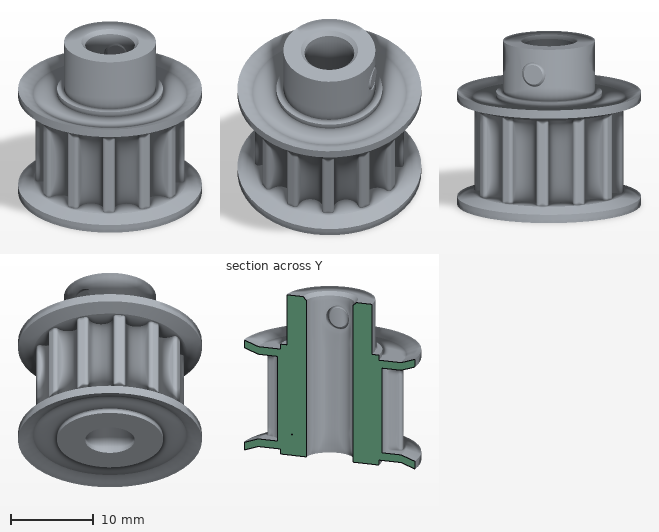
import cadquery as cq
import math

total_height = 20.2
pulley_height = 13.9
hub_radius = 5.55

flange_radius = 11.1
flange_flat_radius = 9.27
flange_thickness = 1.02
flange_dish = 0.63
collar_radius = 6.4

tooth_count = 12
tip_radius = 8.98
groove_radius = 1.51
groove_depth = 2.16
tip_fillet = 0.4

bore_radius = 3.0
bore_chamfer = 0.45

screw_radius = 1.5
screw_tip_position = 3.03
screw_chamfer = 0.3

core_bottom = flange_thickness
core_top = pulley_height - flange_thickness
screw_height = (pulley_height + total_height) / 2


def make_toothed_core():
    """Cylinder with round-bottomed grooves, spanning between the two flanges."""
    core_height = core_top - core_bottom
    groove_centre = tip_radius - groove_depth + groove_radius
    groove_reach = tip_radius + groove_radius

    core = cq.Workplane("XY").workplane(offset=core_bottom).circle(tip_radius).extrude(core_height)
    groove = (
        cq.Workplane("XY")
        .workplane(offset=core_bottom)
        .moveTo(groove_reach, -groove_radius)
        .lineTo(groove_centre, -groove_radius)
        .threePointArc((groove_centre - groove_radius, 0), (groove_centre, groove_radius))
        .lineTo(groove_reach, groove_radius)
        .close()
        .extrude(core_height)
    )
    pitch_angle = 360 / tooth_count
    for index in range(tooth_count):
        angle = index * pitch_angle
        core = core.cut(groove.rotate((0, 0, 0), (0, 0, 1), angle))

    tip_edge_radius = math.hypot(groove_centre, groove_radius) + tip_fillet / 4
    inner_zone = cq.Workplane("XY").circle(tip_edge_radius).extrude(pulley_height).val()
    tip_edges = [edge for edge in core.edges("|Z").vals() if not inner_zone.isInside(edge.Center())]
    return core.newObject(tip_edges).fillet(tip_fillet)


def make_bottom_flange():
    """Dished flange, rim at Z = 0, with the collar flush with the rim."""
    profile = [
        (0, 0),
        (collar_radius, 0),
        (collar_radius, flange_dish),
        (flange_flat_radius, flange_dish),
        (flange_radius, 0),
        (flange_radius, flange_thickness),
        (flange_flat_radius, flange_thickness + flange_dish),
        (0, flange_thickness + flange_dish),
    ]
    return cq.Workplane("XZ").polyline(profile).close().revolve(360, (0, 0), (0, 1))


def make_hub():
    """Plain cylinder rising above the top flange."""
    hub_height = total_height - pulley_height
    return cq.Workplane("XY").workplane(offset=pulley_height).circle(hub_radius).extrude(hub_height)


def make_bore():
    """Through bore with a chamfered mouth at the hub end."""
    mouth_radius = bore_radius + bore_chamfer
    profile = [
        (0, 0),
        (bore_radius, 0),
        (bore_radius, total_height - bore_chamfer),
        (mouth_radius, total_height),
        (0, total_height),
    ]
    return cq.Workplane("XZ").polyline(profile).close().revolve(360, (0, 0), (0, 1))


def screw_axis_cylinder(start, end):
    """Cylinder of the screw diameter along +Y between two Y positions."""
    plane = cq.Plane(origin=(0, start, screw_height), xDir=(1, 0, 0), normal=(0, 1, 0))
    return cq.Workplane(plane).circle(screw_radius).extrude(end - start)


def make_set_screw():
    """Headless screw with both ends chamfered, its outer end level with the hub surface."""
    screw = screw_axis_cylinder(screw_tip_position, hub_radius)
    return screw.faces("<Y or >Y").chamfer(screw_chamfer)


mid_height = pulley_height / 2
bottom_flange = make_bottom_flange()
top_flange = bottom_flange.mirror("XY", (0, 0, mid_height))

result = make_toothed_core().union(bottom_flange).union(top_flange).union(make_hub())
result = result.cut(make_bore())
result = result.cut(screw_axis_cylinder(0, flange_radius))
result = result.union(make_set_screw())